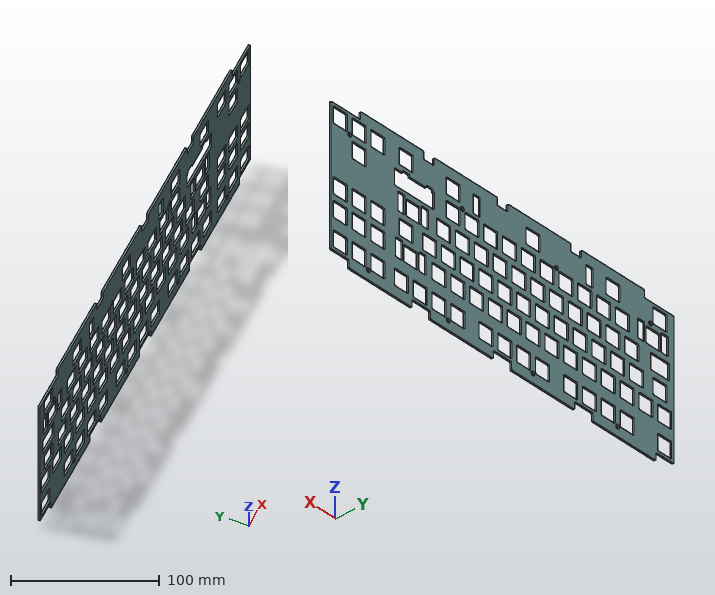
import cadquery as cq


PITCH = 19.05
COLUMNS_U = 18.25
ROWS_U = 6.25
SWITCH = 14.0
SWITCH_RADIUS = 1.0

THICKNESS = 1.5
WIDTH = 347.71
EDGE_MARGIN = (WIDTH - COLUMNS_U * PITCH) / 2
BODY_HEIGHT = ROWS_U * PITCH + 2 * EDGE_MARGIN
HEIGHT = 132.16
OUTLINE_RADIUS = 1.0

TAB_LENGTH = 64.0
TAB_COUNT = 4
TOP_TAB_PITCH = 74.5
BOTTOM_TAB_PITCH = 82.35

STAB_WIDTH = 7.0
STAB_HEIGHT = 16.0
STAB_SHIFT = 1.0
STAB_RADIUS = 1.0
SHORT_STAB_OFFSET = 11.94
SPACE_STAB_OFFSET = 57.15

SPLIT_LEFT_U = 13.125
SPLIT_RIGHT_U = 14.5
SPLIT_STAB_U = 13.625

STEPPED_KEY_U = 0.75
STEPPED_TRAVEL_U = 0.25

HOLE_DIAMETER = 3.5
OUTER_HOLE_Z = 42.0
OUTER_HOLE_COLUMNS = [1.25, 17.25]
INNER_HOLE_Z = 39.0
INNER_HOLE_COLUMNS = [6.25, 11.25]
LOWER_HOLE_Z = -58.1
LOWER_HOLE_COLUMNS = [3.0, 7.5, 12.0, 16.25]

ROW_SPACE = 5.75
ROW_SHIFT = 4.75
ROW_HOME = 3.75
ROW_UPPER = 2.75
ROW_NUMBER = 1.75
ROW_FUNCTION = 0.5

SPACE_BAR_U = 7.5
SHIFT_KEY_U = 1.125
ENTER_KEY_U = 13.875
BACKSPACE_KEY_U = 14.0
SIDE_CLUSTER = [15.75, 16.75, 17.75]


def key_run(first, count):
    """Centres, in key units, of adjacent 1u keys."""
    return [first + i for i in range(count)]


SWITCH_ROWS = [
    (ROW_SPACE, [0.75, 3.25, SPACE_BAR_U, 11.75, 14.25] + SIDE_CLUSTER),
    (ROW_SHIFT, [SHIFT_KEY_U] + key_run(2.75, 10) + [16.75]),
    (ROW_HOME, key_run(2.25, 11) + [ENTER_KEY_U]),
    (ROW_UPPER, [0.75] + key_run(2.0, 12) + [14.25] + SIDE_CLUSTER),
    (ROW_NUMBER, key_run(0.5, 13) + [BACKSPACE_KEY_U] + SIDE_CLUSTER),
    (ROW_FUNCTION, [0.5] + key_run(2.5, 4) + key_run(7.0, 4) + key_run(11.5, 4) + SIDE_CLUSTER),
]


def grid_x(column):
    return (column - COLUMNS_U / 2) * PITCH


def grid_z(row):
    return (row - ROWS_U / 2) * PITCH


def block(x, z, width, height):
    """Plate-thick block centred at (x, z)."""
    return cq.Workplane("XY").box(width, THICKNESS, height).translate((x, 0, z))


def cutout(x, z, width, height, radius):
    """Cutting block with rounded corners."""
    return block(x, z, width, height).edges("|Y").fillet(radius)


def plate():
    """Body with rows of tabs reaching past its top and bottom edges."""
    outline = block(0, 0, WIDTH, BODY_HEIGHT)
    for tab_pitch, side in ((TOP_TAB_PITCH, 1), (BOTTOM_TAB_PITCH, -1)):
        first_x = -tab_pitch * (TAB_COUNT - 1) / 2
        for i in range(TAB_COUNT):
            tab = block(first_x + i * tab_pitch, side * HEIGHT / 4, TAB_LENGTH, HEIGHT / 2)
            outline = outline.union(tab)
    return outline.edges("|Y").fillet(OUTLINE_RADIUS)


def switch_cutouts():
    return [
        cutout(grid_x(column), grid_z(row), SWITCH, SWITCH, SWITCH_RADIUS)
        for row, columns in SWITCH_ROWS
        for column in columns
    ]


def stab_slots(column, row, offset, side):
    """Pair of slots beside a key, shifted up (side=1) or down (side=-1)."""
    z = grid_z(row) + side * STAB_SHIFT
    return [
        cutout(grid_x(column) + x, z, STAB_WIDTH, STAB_HEIGHT, STAB_RADIUS)
        for x in (-offset, offset)
    ]


def stabilizer_cutouts():
    return (
        stab_slots(SPACE_BAR_U, ROW_SPACE, SPACE_STAB_OFFSET, -1)
        + stab_slots(SHIFT_KEY_U, ROW_SHIFT, SHORT_STAB_OFFSET, 1)
        + stab_slots(SPLIT_STAB_U, ROW_SHIFT, SHORT_STAB_OFFSET, 1)
        + stab_slots(ENTER_KEY_U, ROW_HOME, SHORT_STAB_OFFSET, 1)
        + stab_slots(BACKSPACE_KEY_U, ROW_NUMBER, SHORT_STAB_OFFSET, 1)
    )


def wide_cutouts():
    stepped_width = SWITCH + STEPPED_TRAVEL_U * PITCH
    split_width = SWITCH + (SPLIT_RIGHT_U - SPLIT_LEFT_U) * PITCH
    split_x = grid_x((SPLIT_LEFT_U + SPLIT_RIGHT_U) / 2)
    return [
        cutout(grid_x(STEPPED_KEY_U), grid_z(ROW_HOME), stepped_width, SWITCH, SWITCH_RADIUS),
        cutout(split_x, grid_z(ROW_SHIFT), split_width, SWITCH, SWITCH_RADIUS),
    ]


def screw_holes():
    hole_rows = [
        (OUTER_HOLE_Z, OUTER_HOLE_COLUMNS),
        (INNER_HOLE_Z, INNER_HOLE_COLUMNS),
        (LOWER_HOLE_Z, LOWER_HOLE_COLUMNS),
    ]
    return [
        cq.Workplane("XZ")
        .center(grid_x(column), z)
        .circle(HOLE_DIAMETER / 2)
        .extrude(THICKNESS, both=True)
        for z, columns in hole_rows
        for column in columns
    ]


cutters = switch_cutouts() + stabilizer_cutouts() + wide_cutouts() + screw_holes()
result = cq.Workplane(plate().val().cut(*[cutter.val() for cutter in cutters]).Solids()[0])